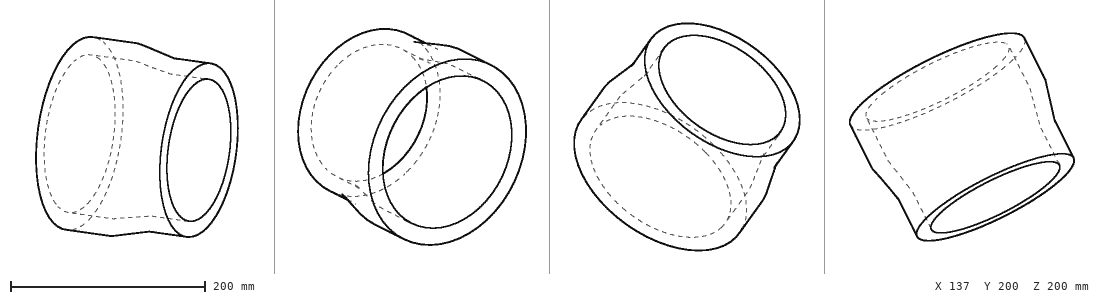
import cadquery as cq

large_outer_diameter = 200.0
large_bore_diameter = 163.5
small_outer_diameter = 180.0
small_bore_diameter = 147.2

total_length = 137.0
large_end_length = 50.0
small_end_length = 45.0

taper_start = large_end_length
taper_end = total_length - small_end_length


def stepped_solid(large_diameter, small_diameter):
    """Solid of revolution: large cylinder, conical taper, small cylinder."""
    large_radius = large_diameter / 2
    small_radius = small_diameter / 2
    return (
        cq.Workplane("XY")
        .moveTo(0, 0)
        .lineTo(0, large_radius)
        .lineTo(taper_start, large_radius)
        .lineTo(taper_end, small_radius)
        .lineTo(total_length, small_radius)
        .lineTo(total_length, 0)
        .close()
        .revolve(360, (0, 0, 0), (1, 0, 0))
    )


body = stepped_solid(large_outer_diameter, small_outer_diameter)
bore = stepped_solid(large_bore_diameter, small_bore_diameter)

result = body.cut(bore)